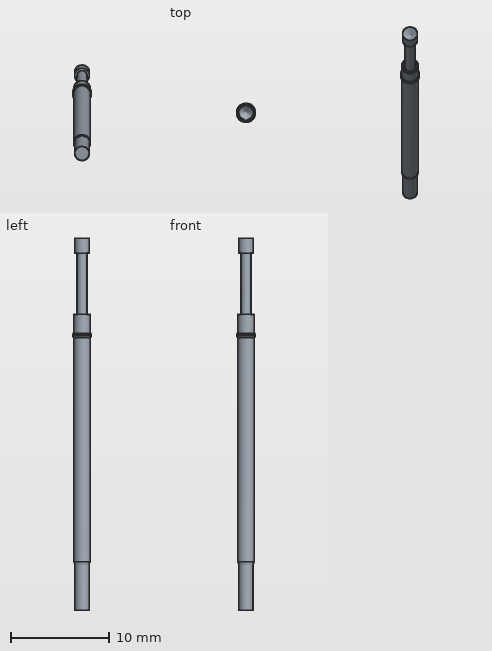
import cadquery as cq

total_height = 37.85
tail_top = 4.6
sleeve_bottom = 4.95
sleeve_top = 30.1
head_bottom = 36.35

tail_diameter = 1.48
shoulder_diameter = 1.6
sleeve_diameter = 1.7
bore_diameter = 1.35

ring_diameter = 1.93
ring_level = 27.97
ring_rim_height = 0.08
ring_base_height = 0.45

shoulder_recess = 0.15

stem_diameter = 1.02
head_diameter = 1.5
cup_depth = 0.75


def revolve_profile(points):
    """Revolve a closed (radius, height) outline about the vertical axis."""
    return cq.Workplane("XZ").polyline(points).close().revolve(360, (0, 0, 0), (0, 1, 0))


def make_sleeve():
    """Stepped sleeve with a narrow ledge above a tapered tail shoulder, a retaining ring and a blind bore."""
    tail_radius = tail_diameter / 2
    shoulder_radius = shoulder_diameter / 2
    sleeve_radius = sleeve_diameter / 2
    bore_radius = bore_diameter / 2
    ring_radius = ring_diameter / 2
    return revolve_profile([
        (0, 0),
        (tail_radius, 0),
        (tail_radius, tail_top),
        (shoulder_radius, sleeve_bottom),
        (sleeve_radius, sleeve_bottom),
        (sleeve_radius, ring_level - ring_base_height / 2),
        (ring_radius, ring_level - ring_rim_height / 2),
        (ring_radius, ring_level + ring_rim_height / 2),
        (sleeve_radius, ring_level + ring_base_height / 2),
        (sleeve_radius, sleeve_top),
        (bore_radius, sleeve_top),
        (bore_radius, sleeve_bottom),
        (0, sleeve_bottom),
    ])


def make_probe():
    """Probe filling the bore, with a slim stem and a wider head that ends in a sharp-rimmed cup."""
    body_radius = bore_diameter / 2
    body_top = sleeve_top - shoulder_recess
    stem_radius = stem_diameter / 2
    head_radius = head_diameter / 2
    return revolve_profile([
        (0, sleeve_bottom),
        (body_radius, sleeve_bottom),
        (body_radius, body_top),
        (stem_radius, body_top),
        (stem_radius, head_bottom),
        (head_radius, head_bottom),
        (head_radius, total_height),
        (0, total_height - cup_depth),
    ])


sleeve = make_sleeve()
probe = make_probe()

result = cq.Compound.makeCompound([sleeve.val(), probe.val()])